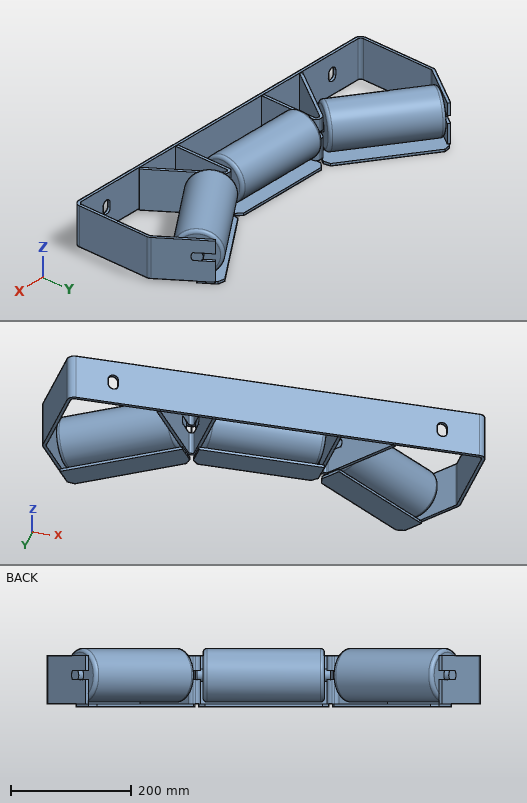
import cadquery as cq
import math

frame_width = 720.0
strip_width = 80.0
sheet = 6.0
frame_bend_radius = 9.0
bracket_bend_radius = 6.0

trough_angle = 35.0
roller_radius = 45.0
roller_length = 201.5
roller_edge_radius = 6.5
roller_axis_z = 47.5
center_roller_y = 101.0
side_roller_x = 222.5
side_roller_y = 168.5

support_offset = 108.0
arm_end_offset = 30.0
bracket_top_y = 128.0

shaft_diameter = 21.0
shaft_flats = 15.0

mount_slot_x = 284.0
mount_slot_width = 17.0
mount_slot_height = 27.0

guard_thickness = 5.0
guard_low_edge = -1.5
guard_high_edge = 45.0
guard_chamfer = 10.0

angle = math.radians(trough_angle)
strip_mid_z = strip_width / 2
shaft_length = 2 * support_offset + sheet
shoulder_length = 2 * support_offset - sheet
guard_length = 2 * support_offset
guard_width = guard_high_edge - guard_low_edge
slot_cut_depth = 2 * sheet
slot_cut_length = 2 * arm_end_offset

roller_places = [
    (-side_roller_x, side_roller_y, -trough_angle),
    (0, center_roller_y, 0),
    (side_roller_x, side_roller_y, trough_angle),
]


def place(body, roller_place):
    """Move a body built along X around the origin to one roller position."""
    x, y, tilt = roller_place
    return body.rotate((0, 0, 0), (0, 0, 1), tilt).translate((x, y, 0))


def left_support_point(along, across):
    """Point given along and across the axis of the left roller, from its centre."""
    return (
        -side_roller_x + along * math.cos(angle) + across * math.sin(angle),
        side_roller_y - along * math.sin(angle) + across * math.cos(angle),
    )


def left_support_x(along, y):
    """X at height y of the line square to the left roller axis."""
    across = (y - side_roller_y + along * math.sin(angle)) / math.cos(angle)
    return left_support_point(along, across)[0]


def left_support_y(along, x):
    """Height at x of the line square to the left roller axis."""
    across = (x + side_roller_x - along * math.cos(angle)) / math.sin(angle)
    return left_support_point(along, across)[1]


def bent_strip(points, bend_radius):
    """Strip of sheet bent along a line of points in the XY plane."""
    path = cq.Wire.makePolygon([cq.Vector(x, y, 0) for x, y in points])
    path = path.fillet(bend_radius)
    start = cq.Vector(*points[0], 0)
    direction = cq.Vector(*points[1], 0) - start
    profile = cq.Workplane(cq.Plane(start, (0, 0, 1), direction))
    profile = profile.center(strip_mid_z, 0).rect(strip_width, sheet)
    return profile.sweep(cq.Workplane(path))


def round_bar(radius, length):
    """Cylinder along X at the height of the roller axes, centred on X = 0."""
    end_centre = (-length / 2, 0, roller_axis_z)
    return cq.Workplane("YZ", origin=end_centre).circle(radius).extrude(length)


def flatted_shaft():
    """Shaft along X with a flat above and below over its whole length."""
    flats = cq.Workplane("XY").box(shaft_length, shaft_diameter, shaft_flats)
    return round_bar(shaft_diameter / 2, shaft_length).intersect(flats.translate((0, 0, roller_axis_z)))


def shaft_slots():
    """Cutter for the open slots that hold both ends of a shaft along X."""
    cutter = cq.Workplane("XY")
    for side in (-1, 1):
        opening = cq.Workplane("XY").box(
            slot_cut_depth, slot_cut_length, shaft_flats, centered=(True, False, True)
        )
        cutter = cutter.add(opening.translate((side * support_offset, 0, roller_axis_z)))
    return cutter.combine().union(flatted_shaft())


def cut_shaft_slots(body):
    """Cut the slots of every roller shaft into a bent strip."""
    for roller_place in roller_places:
        body = body.cut(place(shaft_slots(), roller_place))
    return body


def make_frame():
    side_x = -frame_width / 2 + sheet / 2
    back_y = sheet / 2
    left_side = [
        left_support_point(-support_offset, arm_end_offset),
        (side_x, left_support_y(-support_offset, side_x)),
        (side_x, back_y),
    ]
    right_side = [(-x, y) for x, y in reversed(left_side)]
    frame = cut_shaft_slots(bent_strip(left_side + right_side, frame_bend_radius))
    mount_slots = (
        cq.Workplane("XZ", origin=(0, 0, strip_mid_z))
        .pushPoints([(-mount_slot_x, 0), (mount_slot_x, 0)])
        .slot2D(mount_slot_height, mount_slot_width, 90)
        .extrude(-sheet)
    )
    return frame.cut(mount_slots)


def make_left_bracket():
    top_y = bracket_top_y - sheet / 2
    foot_y = sheet + sheet / 2 * math.sin(angle)
    bends = [
        (left_support_x(support_offset, foot_y), foot_y),
        (left_support_x(support_offset, top_y), top_y),
        (-support_offset, top_y),
        (-support_offset, sheet),
    ]
    return cut_shaft_slots(bent_strip(bends, bracket_bend_radius))


def make_roller():
    """Roller along X with its shaft, round up to the sheets and flatted inside them."""
    drum = round_bar(roller_radius, roller_length).edges("%CIRCLE").fillet(roller_edge_radius)
    shoulders = round_bar(shaft_diameter / 2, shoulder_length)
    return drum.union(shoulders).union(flatted_shaft())


def make_guard():
    """Plate below a roller, from just under its axis line to its upper side."""
    plate = cq.Workplane("XY").box(
        guard_length, guard_width, guard_thickness, centered=(True, False, False)
    )
    plate = plate.edges("|Z and >Y").chamfer(guard_chamfer)
    return plate.translate((0, guard_low_edge, -guard_thickness))


frame = make_frame()
left_bracket = make_left_bracket()
brackets = [left_bracket, left_bracket.mirror("YZ")]
rollers = [place(make_roller(), roller_place) for roller_place in roller_places]
guards = [place(make_guard(), roller_place) for roller_place in roller_places]

bodies = [frame, *brackets, *rollers, *guards]
result = cq.Compound.makeCompound([body.solids().val() for body in bodies])